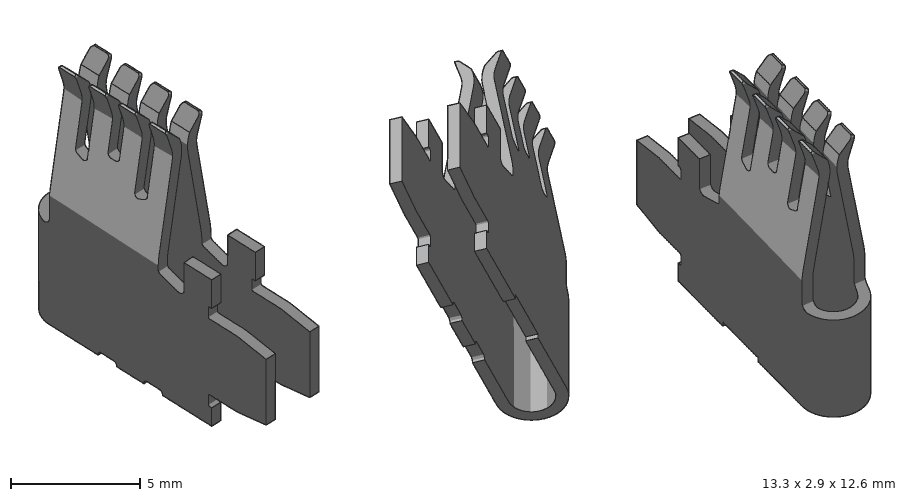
import cadquery as cq
import math

length = 13.3
width = 2.9
height = 12.64
sheet = 0.5

curl_radius = width / 2
curl_height = 4.93
curl_fillet = 0.37

finger_count = 4
finger_width = 1.0
finger_corner = 0.17
slot_widths = (0.66, 0.63, 0.66)
slot_floors = ((8.99, 8.71), (9.62, 9.62), (8.51, 8.83))
slot_corner = 0.2
contact_end = curl_radius + finger_count * finger_width + sum(slot_widths)

valley_left_z = 6.0
valley_right_z = 5.53
valley_left_fillet = 0.17
valley_right_fillet = 0.27
tab_left = 8.8
tab_right = 10.32
tab_top = 7.29

tongue_middle = 3.39
tongue_root_half = 1.89
tongue_end_half = 1.64
tongue_taper_start = 11.7
relief_half = 2.47
relief_bottom_x = 10.13
relief_corner = 0.08

notch_height = 0.2
notch_width = 1.01
notch_corner = 0.16
notch_centers = (4.62, 7.12)

lean = math.radians(9.5)
flare = math.radians(17.3)
lower_bend_z = 6.24
lower_bend_radius = 3.59
upper_bend_z = 11.15
upper_bend_radius = 1.2
bevel_offset = 0.13
tip_thickness = 0.12


def round_corners(body, corners, radius):
    """Fillet the edges along Y that pass through the given (x, z) corners."""
    for x, z in corners:
        edge = cq.selectors.NearestToPointSelector((x, 0, z))
        body = body.edges("|Y").edges(edge).fillet(radius)
    return body


def prism(points):
    """Extrude an (x, z) outline across the full width, centred on Y = 0."""
    return cq.Workplane("XZ").polyline(points).close().extrude(width / 2, both=True)


def leg_outline():
    """Flat outline of a leg, without finger slots."""
    upper_relief = tongue_middle + relief_half
    lower_relief = tongue_middle - relief_half
    upper_root = tongue_middle + tongue_root_half
    lower_root = tongue_middle - tongue_root_half
    outline = prism([
        (curl_radius, 0),
        (curl_radius, height),
        (contact_end, height),
        (contact_end, valley_left_z),
        (tab_left, valley_right_z),
        (tab_left, tab_top),
        (tab_right, tab_top),
        (tab_right, upper_relief),
        (relief_bottom_x, upper_relief),
        (relief_bottom_x, upper_root),
        (tongue_taper_start, upper_root),
        (length, tongue_middle + tongue_end_half),
        (length, tongue_middle - tongue_end_half),
        (tongue_taper_start, lower_root),
        (relief_bottom_x, lower_root),
        (relief_bottom_x, lower_relief),
        (tab_right, lower_relief),
        (tab_right, 0),
    ])
    outline = round_corners(outline, [(contact_end, valley_left_z)], valley_left_fillet)
    outline = round_corners(outline, [(tab_left, valley_right_z)], valley_right_fillet)
    relief_levels = (upper_relief, upper_root, lower_root, lower_relief)
    relief_corners = [(relief_bottom_x, z) for z in relief_levels]
    return round_corners(outline, relief_corners, relief_corner)


def cut_finger_slots(outline):
    """Divide the contact into four fingers and round their tips."""
    finger_left = curl_radius
    for slot_width, (left_z, right_z) in zip(slot_widths, slot_floors):
        left = finger_left + finger_width
        right = left + slot_width
        slot = prism([(left, left_z), (left, height), (right, height), (right, right_z)])
        slot = round_corners(slot, [(left, left_z), (right, right_z)], slot_corner)
        outline = outline.cut(slot)
        finger_left = right
    return outline.faces(">Z").edges("|Y").fillet(finger_corner)


def bent_sheet():
    """Bent cross-section of the -Y leg, swept along X."""
    outer_y = -width / 2

    lower_center = (outer_y + lower_bend_radius, lower_bend_z)

    def on_lower_bend(radius, angle):
        return (lower_center[0] - radius * math.cos(angle), lower_center[1] + radius * math.sin(angle))

    lower_end = on_lower_bend(lower_bend_radius, lean)
    lower_inner_radius = lower_bend_radius - sheet

    upper_start_y = lower_end[0] + (upper_bend_z - lower_end[1]) * math.tan(lean)
    upper_center = (
        upper_start_y - upper_bend_radius * math.cos(lean),
        upper_bend_z + upper_bend_radius * math.sin(lean),
    )

    def on_upper_bend(radius, angle):
        return (upper_center[0] + radius * math.cos(angle), upper_center[1] + radius * math.sin(angle))

    upper_inner_radius = upper_bend_radius + sheet
    upper_middle = (flare - lean) / 2
    outer_end = on_upper_bend(upper_bend_radius, flare)
    inner_end = on_upper_bend(upper_inner_radius, flare)

    tip_outer_z = height - tip_thickness * math.sin(flare)
    tip_outer_y = outer_end[0] - (tip_outer_z - outer_end[1]) * math.tan(flare)
    tip_inner = (tip_outer_y + tip_thickness * math.cos(flare), height)
    bevel_start = (
        inner_end[0] - bevel_offset * math.sin(flare),
        inner_end[1] + bevel_offset * math.cos(flare),
    )

    return (
        cq.Workplane("YZ", origin=(curl_radius, 0, 0))
        .moveTo(outer_y, 0)
        .lineTo(outer_y, lower_bend_z)
        .threePointArc(on_lower_bend(lower_bend_radius, lean / 2), lower_end)
        .lineTo(upper_start_y, upper_bend_z)
        .threePointArc(on_upper_bend(upper_bend_radius, upper_middle), outer_end)
        .lineTo(tip_outer_y, tip_outer_z)
        .lineTo(*tip_inner)
        .lineTo(*bevel_start)
        .lineTo(*inner_end)
        .threePointArc(
            on_upper_bend(upper_inner_radius, upper_middle),
            on_upper_bend(upper_inner_radius, -lean),
        )
        .lineTo(*on_lower_bend(lower_inner_radius, lean))
        .threePointArc(
            on_lower_bend(lower_inner_radius, lean / 2),
            on_lower_bend(lower_inner_radius, 0),
        )
        .lineTo(outer_y + sheet, 0)
        .close()
        .extrude(length - curl_radius)
    )


def flat_leg_sheet():
    """Straight cross-section of the -Y leg beyond the fingers."""
    flat_length = length - contact_end
    corner = (contact_end, -width / 2, 0)
    return cq.Workplane("XY").box(flat_length, sheet, tab_top, centered=False).translate(corner)


def curl():
    """Half ring joining the legs, filleted up into the finger edges."""
    ring = (
        cq.Workplane("XY")
        .center(curl_radius, 0)
        .circle(curl_radius)
        .circle(curl_radius - sheet)
        .extrude(curl_height + curl_fillet)
    )
    profile = (
        cq.Workplane("XZ")
        .lineTo(curl_radius, 0)
        .lineTo(curl_radius, curl_height + curl_fillet)
        .radiusArc((curl_radius - curl_fillet, curl_height), curl_fillet)
        .lineTo(0, curl_height)
        .close()
        .extrude(width / 2, both=True)
    )
    return ring.intersect(profile)


def front_notches():
    """Two round-cornered notches for the -Y leg."""
    notch = prism([
        (-notch_width / 2, 0),
        (-notch_width / 2, notch_height),
        (notch_width / 2, notch_height),
        (notch_width / 2, 0),
    ])
    notch = notch.faces(">Z").edges("|Y").fillet(notch_corner)
    first, second = (notch.translate((x, 0, 0)) for x in notch_centers)
    return first.union(second)


def back_notch():
    """One wide notch for the +Y leg, spanning the centres of the -Y notches."""
    left, right = notch_centers
    return prism([(left, 0), (left, notch_height), (right, notch_height), (right, 0)])


contact_sheet = bent_sheet().intersect(
    cq.Workplane("XY").box(contact_end, width, height, centered=(False, True, False))
)
leg = contact_sheet.union(flat_leg_sheet()).intersect(cut_finger_slots(leg_outline()))
front_leg = leg.cut(front_notches())
back_leg = leg.mirror("XZ").cut(back_notch())
result = curl().union(front_leg).union(back_leg)